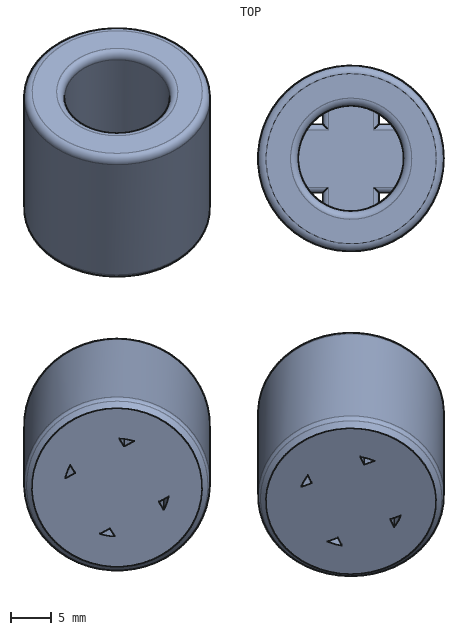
import cadquery as cq
import math

outer_diameter = 23.0
height = 22.0
bore_diameter = 13.0
edge_radius = 1.0
chamfer_angle = math.radians(45)

floor_thickness = 4.6
arm_width_along_x = 8.5
arm_width_along_y = 7.0
arm_edge_radius = 0.71

outer_radius = outer_diameter / 2
bore_radius = bore_diameter / 2


def make_sleeve():
    """Revolve the wall: rounded top edges and a blended 45 degree bottom edge."""
    diagonal = edge_radius * math.sin(chamfer_angle)
    arc_mid_drop = edge_radius * math.sin(chamfer_angle / 2)
    arc_mid_reach = edge_radius * math.cos(chamfer_angle / 2)
    blend_center_radius = outer_radius - edge_radius
    blend_start_radius = blend_center_radius + diagonal
    blend_start_z = diagonal
    blend_center_z = 2 * diagonal
    top_blend_z = height - edge_radius
    return (
        cq.Workplane("XZ")
        .moveTo(bore_radius, 0)
        .lineTo(blend_center_radius, 0)
        .lineTo(blend_start_radius, blend_start_z)
        .threePointArc(
            (blend_center_radius + arc_mid_reach, blend_center_z - arc_mid_drop),
            (outer_radius, blend_center_z),
        )
        .lineTo(outer_radius, top_blend_z)
        .radiusArc((outer_radius - edge_radius, height), -edge_radius)
        .lineTo(bore_radius + edge_radius, height)
        .radiusArc((bore_radius, top_blend_z), -edge_radius)
        .close()
        .revolve(360, (0, 0, 0), (0, 1, 0))
    )


def make_arm(size_x, size_y, long_edges):
    """Make one bar of the cross with its two long upper edges rounded."""
    return (
        cq.Workplane("XY")
        .box(size_x, size_y, floor_thickness, centered=(True, True, False))
        .edges(f">Z and {long_edges}")
        .fillet(arm_edge_radius)
    )


def make_cross():
    """Join two crossing bars and trim their ends halfway into the wall."""
    trim_radius = (outer_radius - edge_radius + bore_radius) / 2
    trim = cq.Workplane("XY").circle(trim_radius).extrude(floor_thickness)
    arm_along_x = make_arm(outer_diameter, arm_width_along_x, "|X")
    arm_along_y = make_arm(arm_width_along_y, outer_diameter, "|Y")
    return arm_along_x.union(arm_along_y).intersect(trim)


result = make_sleeve().union(make_cross())